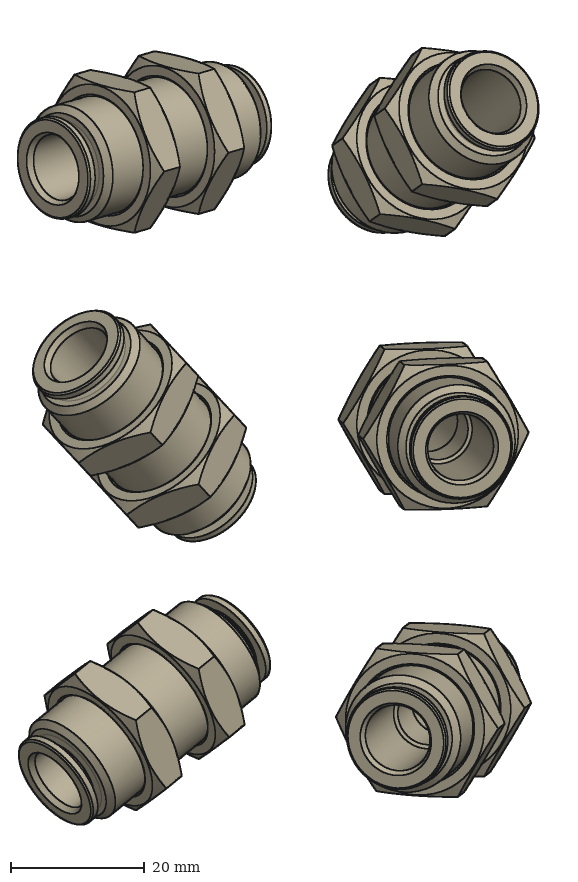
import cadquery as cq
import math

length = 38.6
half_length = length / 2

body_radius = 9.0
body_half_length = 16.5
body_chamfer_length = 0.93
body_chamfer_depth = 1.05

lip_radius = 6.95
lip_height = 0.25

neck_radius = 5.67
neck_flare = 0.2
flange_radius = 7.75
flange_thickness = 1.25
flange_chamfer = 0.27

through_radius = 4.495
socket_radius = 5.05
entry_radius = 5.55
entry_depth = 0.95
socket_depth = 15.45
stop_cone_length = 0.3

nut_across_flats = 22.0
nut_thickness = 5.5
nut_inner_face = 4.0
nut_face_radius = 10.85
nut_chamfer_angle = 30.0
nut_bore_chamfer = 0.3


def revolve_about_y(half_profile):
    """Revolve (radius, y) points about the Y axis."""
    return cq.Workplane("XY").polyline(half_profile).close().revolve(360, (0, 0, 0), (0, 1, 0))


def mirrored_profile(points):
    """Complete a profile given from the +Y end down to the middle."""
    return points + [(radius, -y) for radius, y in reversed(points)]


def make_union_exterior():
    """Body, lips, necks and flanges as one solid of revolution."""
    flange_inner_face = half_length - flange_thickness
    return revolve_about_y(mirrored_profile([
        (0, half_length),
        (flange_radius - flange_chamfer, half_length),
        (flange_radius, half_length - flange_chamfer),
        (flange_radius, flange_inner_face),
        (neck_radius + neck_flare, flange_inner_face),
        (neck_radius, flange_inner_face - neck_flare),
        (neck_radius, body_half_length + lip_height),
        (lip_radius, body_half_length),
        (body_radius - body_chamfer_depth, body_half_length),
        (body_radius, body_half_length - body_chamfer_length),
    ]))


def make_tube_passage():
    """Through bore with a socket, tube stop and flared entry at each end."""
    stop_start = half_length - socket_depth
    return revolve_about_y(mirrored_profile([
        (0, half_length),
        (entry_radius, half_length),
        (socket_radius, half_length - entry_depth),
        (socket_radius, stop_start),
        (through_radius, stop_start - stop_cone_length),
    ]))


def make_nut():
    """Hexagonal nut centred on the origin, corners on the X axis."""
    half_thickness = nut_thickness / 2
    corner_radius = nut_across_flats / math.sqrt(3)
    hexagon = (
        cq.Workplane("XZ")
        .polygon(6, 2 * corner_radius)
        .extrude(half_thickness, both=True)
    )
    corner_drop = (corner_radius - nut_face_radius) * math.tan(math.radians(nut_chamfer_angle))
    corner_cones = revolve_about_y(mirrored_profile([
        (0, half_thickness),
        (nut_face_radius, half_thickness),
        (corner_radius, half_thickness - corner_drop),
    ]))
    bore = revolve_about_y(mirrored_profile([
        (0, half_thickness),
        (body_radius + nut_bore_chamfer, half_thickness),
        (body_radius, half_thickness - nut_bore_chamfer),
    ]))
    return hexagon.intersect(corner_cones).cut(bore)


result = make_union_exterior()
nut_center = nut_inner_face + nut_thickness / 2
for side in (-1, 1):
    result = result.union(make_nut().translate((0, side * nut_center, 0)))
result = result.cut(make_tube_passage())